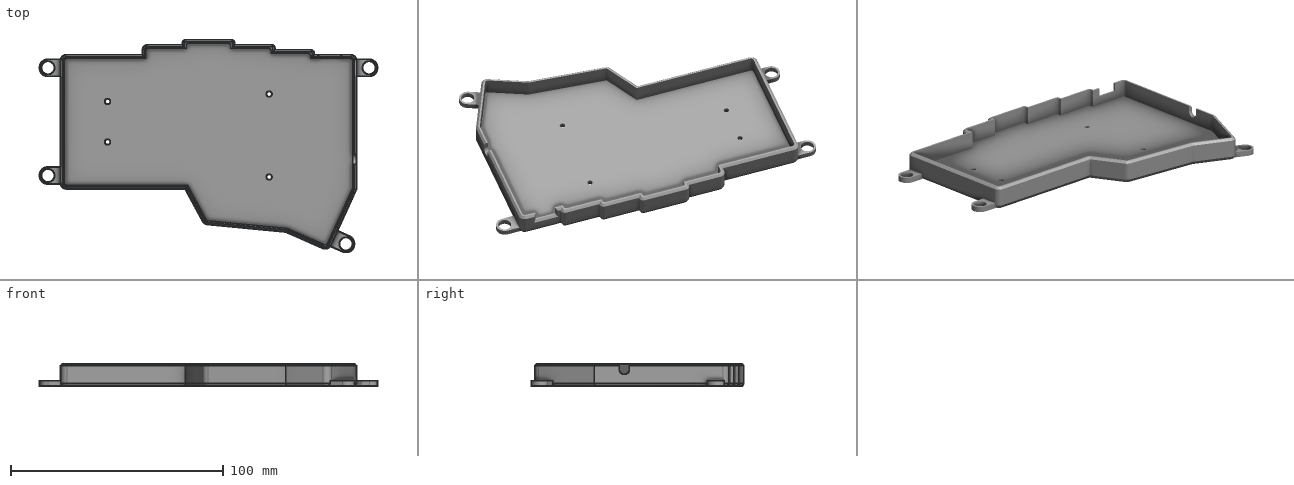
import cadquery as cq
import math

TRAY_LENGTH = 139.6
TRAY_HEIGHT = 10.6
WALL = 1.8
FLOOR = 2.4

TOP_BEVEL = 1.0
BOTTOM_BEVEL_HEIGHT = 1.5
BOTTOM_BEVEL_INSET = 0.8

REAR_Y = 63.4
STEP_RISE = 2.375
LOW_STEP_Y = REAR_Y + STEP_RISE
MIDDLE_STEP_Y = REAR_Y + 2 * STEP_RISE
HIGH_STEP_Y = REAR_Y + 3 * STEP_RISE
LEFT_RISE_X = 38.5
LEFT_HIGH_X = 57.4
RIGHT_HIGH_X = 82.2
RIGHT_MIDDLE_X = 101.2
RIGHT_LOW_X = 119.7

EXTENSION_START = (58.8, 0.0)
EXTENSION_LEFT = (67.8, -16.6)
EXTENSION_BEND = (106.3, -20.3)
EXTENSION_TIP = (126.35, -29.1)

CORNER_RADIUS = 3.0
CAVITY_RADIUS = CORNER_RADIUS - WALL
STEP_RADIUS = 2.0

EAR_RADIUS = 4.05
EAR_HOLE_DIAMETER = 6.1
EAR_THICKNESS = 2.6
EAR_REACH = 5.89
EAR_REAR_Y = 57.2
EAR_FRONT_Y = 6.4
TIP_EAR_CENTER = (134.6, -25.85)
TIP_EAR_ANGLE = -24.0

EARS = [
    ((-EAR_REACH, EAR_REAR_Y), 180),
    ((-EAR_REACH, EAR_FRONT_Y), 180),
    ((TRAY_LENGTH + EAR_REACH, EAR_REAR_Y), 0),
    (TIP_EAR_CENTER, TIP_EAR_ANGLE),
]

FLOOR_HOLE_DIAMETER = 2.5
FLOOR_HOLES = [(22.2, 41.3), (22.2, 22.2), (98.4, 44.8), (98.4, 5.7)]

NOTCH_CENTER_X = 126.9
NOTCH_WIDTH = 10.0
NOTCH_SILL_Z = 6.6

SLOT_WIDTH = 4.8
SLOT_Y = 14.1
SLOT_BOTTOM_Z = 5.6

CUTTER_DEPTH = 3 * WALL

OUTLINE = [
    ((0, 0), CORNER_RADIUS),
    ((0, REAR_Y), CORNER_RADIUS),
    ((LEFT_RISE_X, REAR_Y), 0),
    ((LEFT_RISE_X, MIDDLE_STEP_Y), CORNER_RADIUS),
    ((LEFT_HIGH_X, MIDDLE_STEP_Y), 0),
    ((LEFT_HIGH_X, HIGH_STEP_Y), STEP_RADIUS),
    ((RIGHT_HIGH_X, HIGH_STEP_Y), STEP_RADIUS),
    ((RIGHT_HIGH_X, MIDDLE_STEP_Y), 0),
    ((RIGHT_MIDDLE_X, MIDDLE_STEP_Y), STEP_RADIUS),
    ((RIGHT_MIDDLE_X, LOW_STEP_Y), 0),
    ((RIGHT_LOW_X, LOW_STEP_Y), STEP_RADIUS),
    ((RIGHT_LOW_X, REAR_Y), 0),
    ((TRAY_LENGTH, REAR_Y), CORNER_RADIUS),
    ((TRAY_LENGTH, 0), 0),
    (EXTENSION_TIP, CORNER_RADIUS),
    (EXTENSION_BEND, 0),
    (EXTENSION_LEFT, CORNER_RADIUS),
    (EXTENSION_START, 0),
]


def unit_vector(start, end):
    """Unit vector from start to end."""
    length = math.dist(start, end)
    return (end[0] - start[0]) / length, (end[1] - start[1]) / length


def inset_corner(index, inset):
    """Outside corner moved inward so that both of its sides shift by the inset."""
    before, corner, after = (OUTLINE[(index + step) % len(OUTLINE)][0] for step in (-1, 0, 1))
    ux, uy = unit_vector(before, corner)
    vx, vy = unit_vector(corner, after)
    shift = inset / (1 + ux * vx + uy * vy)
    return corner[0] + shift * (uy + vy), corner[1] - shift * (ux + vx)


def round_corner(prism, corner, radius):
    """Round the vertical edge of a prism that stands on the given corner."""
    x, y = corner
    near = 0.01
    edge = cq.selectors.BoxSelector((x - near, y - near, -TRAY_HEIGHT), (x + near, y + near, 2 * TRAY_HEIGHT))
    return prism.edges("|Z").edges(edge).fillet(radius)


def make_block():
    """Solid block of the tray with its rounded corners and bevelled rims."""
    corners = [corner for corner, _ in OUTLINE]
    wall_height = TRAY_HEIGHT - BOTTOM_BEVEL_HEIGHT
    base = cq.Workplane("XY", origin=(0, 0, BOTTOM_BEVEL_HEIGHT))
    block = base.polyline(corners).close().extrude(wall_height)
    for corner, radius in OUTLINE:
        if radius > 0:
            block = round_corner(block, corner, radius)
    block = block.faces(">Z").chamfer(TOP_BEVEL)
    taper = math.degrees(math.atan2(BOTTOM_BEVEL_INSET, BOTTOM_BEVEL_HEIGHT))
    return block.faces("<Z").wires().toPending().workplane().extrude(BOTTOM_BEVEL_HEIGHT, taper=taper)


def make_cavity():
    """Open space above the floor, a wall thickness inside the block."""
    corners = [inset_corner(index, WALL) for index in range(len(OUTLINE))]
    cavity = cq.Workplane("XY", origin=(0, 0, FLOOR)).polyline(corners).close().extrude(TRAY_HEIGHT)
    for corner, (_, outer_radius) in zip(corners, OUTLINE):
        if outer_radius > 0:
            cavity = round_corner(cavity, corner, CAVITY_RADIUS)
    return cavity


def make_notch():
    """Rear wall notch; it flares outward so that the rim bevel follows its sill and sides."""
    notch = cq.Workplane("XY").box(NOTCH_WIDTH, CUTTER_DEPTH, TRAY_HEIGHT, centered=(True, True, False))
    notch = notch.translate((NOTCH_CENTER_X, REAR_Y, NOTCH_SILL_Z))
    flare_origin = (NOTCH_CENTER_X, REAR_Y - TOP_BEVEL, NOTCH_SILL_Z + TRAY_HEIGHT / 2)
    flare = (
        cq.Workplane("XZ", origin=flare_origin)
        .rect(NOTCH_WIDTH, TRAY_HEIGHT)
        .workplane(offset=-TOP_BEVEL)
        .rect(NOTCH_WIDTH + 2 * TOP_BEVEL, TRAY_HEIGHT + 2 * TOP_BEVEL)
        .loft()
    )
    return notch.union(flare)


def make_slot():
    """Slot through the +X wall with a half-round bottom, open at the top."""
    radius = SLOT_WIDTH / 2
    round_center = (TRAY_LENGTH - CUTTER_DEPTH / 2, SLOT_Y, SLOT_BOTTOM_Z + radius)
    bottom = cq.Workplane("YZ", origin=round_center).circle(radius).extrude(CUTTER_DEPTH)
    sides = cq.Workplane("XY").box(CUTTER_DEPTH, SLOT_WIDTH, TRAY_HEIGHT, centered=(True, True, False))
    return bottom.union(sides.translate((TRAY_LENGTH, SLOT_Y, SLOT_BOTTOM_Z + radius)))


def make_ear(center, angle):
    """Flat mounting ear with a hole, reaching out from the wall in the given direction."""
    arm_length = EAR_REACH + WALL
    pad = cq.Workplane("XY").circle(EAR_RADIUS).extrude(EAR_THICKNESS)
    arm = cq.Workplane("XY").rect(arm_length, 2 * EAR_RADIUS).extrude(EAR_THICKNESS)
    ear = pad.union(arm.translate((-arm_length / 2, 0, 0)))
    ear = ear.cut(cq.Workplane("XY").circle(EAR_HOLE_DIAMETER / 2).extrude(EAR_THICKNESS))
    return ear.rotate((0, 0, 0), (0, 0, 1), angle).translate(center)


def make_floor_holes():
    """Pins that cut the small holes through the floor."""
    return cq.Workplane("XY").pushPoints(FLOOR_HOLES).circle(FLOOR_HOLE_DIAMETER / 2).extrude(FLOOR)


result = make_block()
for ear_center, ear_angle in EARS:
    result = result.union(make_ear(ear_center, ear_angle))
for opening in (make_cavity(), make_notch(), make_slot(), make_floor_holes()):
    result = result.cut(opening)